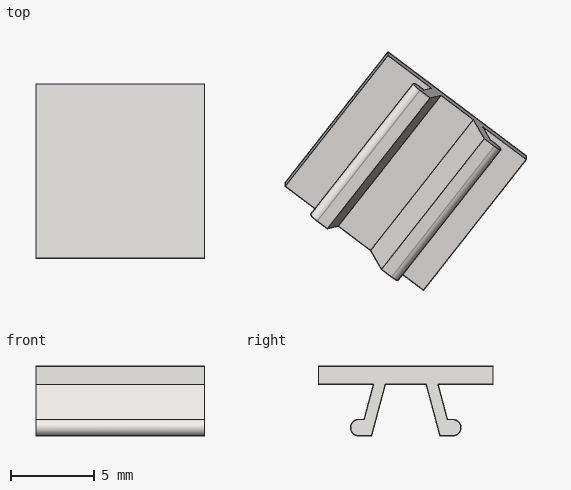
import cadquery as cq
import math

plate_length = 10.15
plate_width = 10.5
plate_thickness = 1.1

total_height = 4.2
leg_height = total_height - plate_thickness
leg_thickness = 0.7
leg_splay = math.radians(15)
leg_gap_at_plate = 2.45

bead_diameter = 1.0
bead_span = 6.65

bead_radius = bead_diameter / 2
foot_z = -leg_height
bead_top_z = foot_z + bead_diameter
bead_center_z = foot_z + bead_radius

leg_inner_y = leg_gap_at_plate / 2
leg_outer_y = leg_inner_y + leg_thickness / math.cos(leg_splay)
foot_inner_y = leg_inner_y + leg_height * math.tan(leg_splay)
bead_root_y = leg_outer_y + (leg_height - bead_diameter) * math.tan(leg_splay)
bead_tip_y = bead_span / 2
bead_center_y = bead_tip_y - bead_radius


def make_plate():
    return cq.Workplane("XY").box(
        plate_length, plate_width, plate_thickness, centered=(True, True, False)
    )


def make_leg():
    """Leg on the +Y side; its top is carried into the plate for a solid joint."""
    overlap = plate_thickness / 2
    return (
        cq.Workplane("YZ", origin=(-plate_length / 2, 0, 0))
        .moveTo(leg_inner_y, overlap)
        .lineTo(leg_inner_y, 0)
        .lineTo(foot_inner_y, foot_z)
        .lineTo(bead_center_y, foot_z)
        .threePointArc((bead_tip_y, bead_center_z), (bead_center_y, bead_top_z))
        .lineTo(bead_root_y, bead_top_z)
        .lineTo(leg_outer_y, 0)
        .lineTo(leg_outer_y, overlap)
        .close()
        .extrude(plate_length)
    )


leg = make_leg()
result = make_plate().union(leg).union(leg.mirror("XZ"))